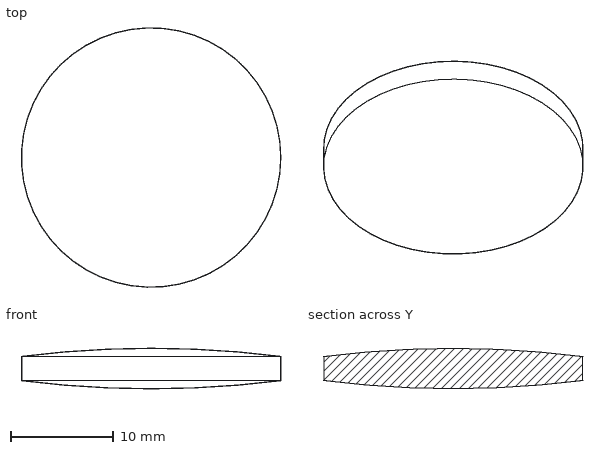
import cadquery as cq

diameter = 25.4
centre_thickness = 4.0
edge_thickness = 2.4

radius = diameter / 2
half_centre = centre_thickness / 2
half_edge = edge_thickness / 2
dome_height = half_centre - half_edge

sphere_radius = (radius**2 + dome_height**2) / (2 * dome_height)
sphere_centre = half_centre - sphere_radius

mid_x = radius / 2
mid_z = sphere_centre + (sphere_radius**2 - mid_x**2) ** 0.5

half_section = (
    cq.Workplane("XZ")
    .moveTo(0, -half_centre)
    .threePointArc((mid_x, -mid_z), (radius, -half_edge))
    .lineTo(radius, half_edge)
    .threePointArc((mid_x, mid_z), (0, half_centre))
    .close()
)

result = half_section.revolve(360, (0, 0, 0), (0, 1, 0))